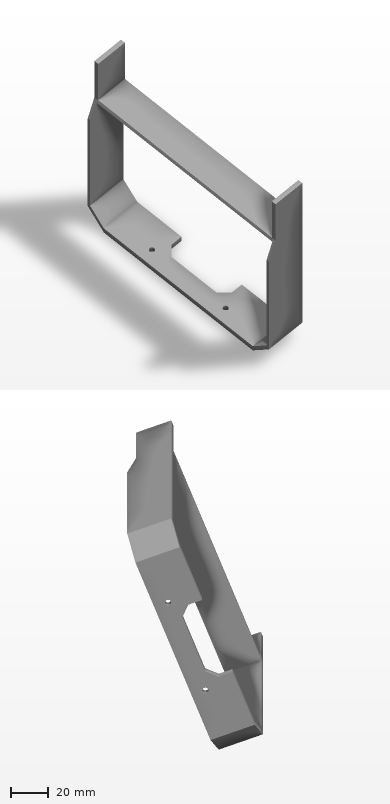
import cadquery as cq

width = 135.0
depth = 25.0
height = 134.0

wall_thickness = 1.8
floor_thickness = 3.6
corner_chamfer = 12.0
shelf_top = 102.5
shelf_thickness = 2.0
arm_thickness = 2.8

arm_depth = 20.0
slope_bottom = 88.5

notch_width = 45.0
notch_front = 11.7
notch_corner_chamfer = 5.7
hole_diameter = 3.2
hole_spacing = 55.0
hole_y = 7.8


def block(x_size, z_bottom, z_top):
    """Full-depth block centred on X between two heights."""
    return (
        cq.Workplane("XY", origin=(0, depth / 2, z_bottom))
        .rect(x_size, depth)
        .extrude(z_top - z_bottom)
    )


def make_frame():
    """Chamfered outline with the window and the gap between the arms removed."""
    outer = block(width, 0, height).edges("|Y and <Z").chamfer(corner_chamfer)
    window = (
        block(width - 2 * wall_thickness, floor_thickness, shelf_top - shelf_thickness)
        .edges("|Y and <Z")
        .chamfer(corner_chamfer - wall_thickness)
    )
    arm_gap = block(width - 2 * arm_thickness, shelf_top, height)
    return outer.cut(window).cut(arm_gap)


def make_side_profile():
    """Side outline of the frame, extruded across its full width."""
    front_setback = depth - arm_depth
    return (
        cq.Workplane("YZ", origin=(-width / 2, 0, 0))
        .polyline([
            (0, 0),
            (depth, 0),
            (depth, height),
            (front_setback, height),
            (front_setback, shelf_top),
            (0, slope_bottom),
        ])
        .close()
        .extrude(width)
    )


def make_floor_notch():
    """Rear floor notch with chamfered inner corners."""
    notch_depth = depth - notch_front
    return (
        cq.Workplane("XY", origin=(0, notch_front + notch_depth / 2, 0))
        .rect(notch_width, notch_depth)
        .extrude(floor_thickness)
        .edges("|Z and <Y")
        .chamfer(notch_corner_chamfer)
    )


def make_floor_holes():
    """Pair of holes through the floor."""
    return (
        cq.Workplane("XY", origin=(0, hole_y, 0))
        .pushPoints([(-hole_spacing / 2, 0), (hole_spacing / 2, 0)])
        .circle(hole_diameter / 2)
        .extrude(floor_thickness)
    )


result = (
    make_frame()
    .intersect(make_side_profile())
    .cut(make_floor_notch())
    .cut(make_floor_holes())
)